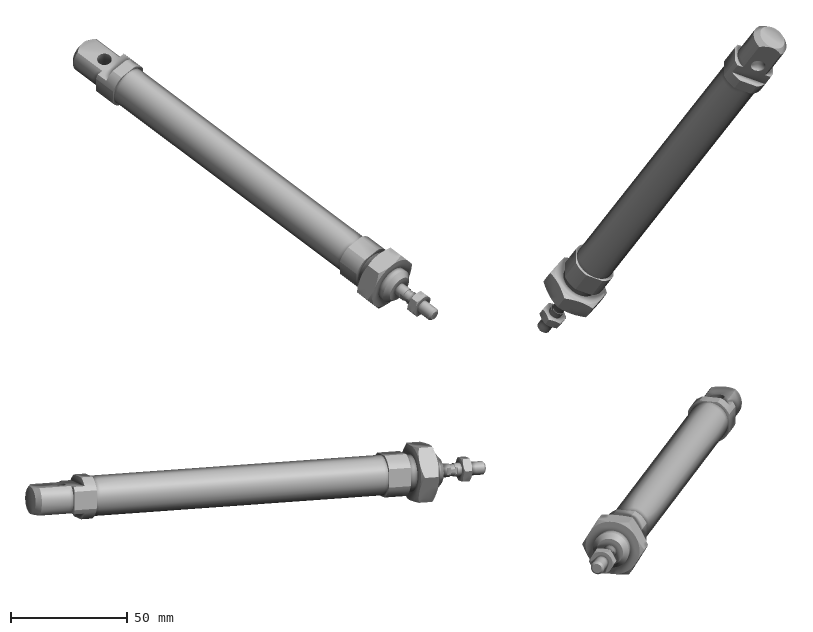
import cadquery as cq
import math

total_length = 211.0
rear_flange_start = 16.9
rear_flange_shoulder = 22.0
rear_flange_end = 27.2
front_flange_start = 163.0
front_flange_end = 173.2
front_cap_end = 190.0
collar_length = 1.3
barrel_start = rear_flange_end + collar_length
barrel_end = front_flange_start - collar_length

barrel_diameter = 17.5
flange_diameter = 20.0
flange_across_flats = 18.4
neck_diameter = 16.0
neck_end_chamfer = 2.1
tongue_thickness = 12.0
pivot_hole_diameter = 6.3
pivot_hole_x = 13.0

mounting_nut_start = 176.8
mounting_nut_thickness = 8.5
mounting_nut_across_flats = 24.0

rod_diameter = 6.0
rod_tip_chamfer = 0.8
rod_groove_diameter = 5.3
rod_groove_start = 194.5
rod_groove_width = 2.1
rod_flats_start = 192.6
rod_flats_length = 4.9
rod_across_flats = 5.0
rod_nut_start = 199.6
rod_nut_thickness = 4.0
rod_nut_across_flats = 10.0

hex_sides = 6
hex_half_angle = math.pi / hex_sides
nut_chamfer_angle = math.radians(30)


def cylinder(diameter, start, end):
    """Solid cylinder on the X axis between two stations."""
    return cq.Workplane("YZ", origin=(start, 0, 0)).circle(diameter / 2).extrude(end - start)


def flange(start, end):
    """Round flange with four wrench flats."""
    square = cq.Workplane("YZ", origin=(start, 0, 0)).rect(flange_across_flats, flange_across_flats)
    return cylinder(flange_diameter, start, end).intersect(square.extrude(end - start))


def make_rear_cap():
    """Flange with a flattened pivot tongue, a cross hole and a collar flush with the barrel."""
    tongue = cylinder(neck_diameter, 0, rear_flange_start).faces("<X").edges().chamfer(neck_end_chamfer)
    body = tongue.union(flange(rear_flange_start, rear_flange_end))
    slab = cq.Workplane("XY").box(rear_flange_shoulder, flange_diameter, tongue_thickness,
                                  centered=(False, True, True))
    body = body.intersect(slab.union(cylinder(flange_diameter, rear_flange_shoulder, rear_flange_end)))
    pivot_hole = (
        cq.Workplane("XY")
        .center(pivot_hole_x, 0)
        .circle(pivot_hole_diameter / 2)
        .extrude(tongue_thickness, both=True)
    )
    collar = cylinder(barrel_diameter, rear_flange_end, barrel_start)
    return body.union(collar).cut(pivot_hole)


def make_barrel():
    """Plain round barrel between the collars of the two caps."""
    return cylinder(barrel_diameter, barrel_start, barrel_end)


def make_front_cap():
    """Flange with a collar flush with the barrel and a chamfered neck, bored for the rod."""
    neck = cylinder(neck_diameter, front_flange_end, front_cap_end)
    neck = neck.faces(">X").edges().chamfer(neck_end_chamfer)
    body = flange(front_flange_start, front_flange_end).union(neck)
    collar = cylinder(barrel_diameter, barrel_end, front_flange_start)
    return body.union(collar).cut(cylinder(rod_diameter, barrel_end, front_cap_end))


def make_hex_nut(across_flats, bore, start, thickness):
    """Hexagon nut with corners along Y and conical chamfers on both faces."""
    face_radius = across_flats / 2
    corner_radius = face_radius / math.cos(hex_half_angle)
    chamfer_depth = (corner_radius - face_radius) * math.tan(nut_chamfer_angle)
    end = start + thickness
    prism = cq.Workplane("YZ", origin=(start, 0, 0)).polygon(hex_sides, 2 * corner_radius).extrude(thickness)
    envelope = (
        cq.Workplane("XY")
        .moveTo(start, 0)
        .lineTo(start, face_radius)
        .lineTo(start + chamfer_depth, corner_radius)
        .lineTo(end - chamfer_depth, corner_radius)
        .lineTo(end, face_radius)
        .lineTo(end, 0)
        .close()
        .revolve(360, (0, 0, 0), (1, 0, 0))
    )
    return prism.intersect(envelope).cut(cylinder(bore, start, end))


def make_rod():
    """Piston rod with wrench flats, an undercut and a chamfered tip."""
    rod = cylinder(rod_diameter, barrel_end, total_length).faces(">X").chamfer(rod_tip_chamfer)
    groove_end = rod_groove_start + rod_groove_width
    groove_core = cylinder(rod_groove_diameter, rod_groove_start, groove_end)
    rod = rod.cut(cylinder(rod_diameter, rod_groove_start, groove_end).cut(groove_core))
    flat_cutter = cq.Workplane("XY").box(rod_flats_length, rod_diameter, rod_diameter)
    flats_middle = rod_flats_start + rod_flats_length / 2
    flat_offset = (rod_across_flats + rod_diameter) / 2
    for side in (-1, 1):
        rod = rod.cut(flat_cutter.translate((flats_middle, side * flat_offset, 0)))
    return rod


rear_cap = make_rear_cap()
barrel = make_barrel()
front_cap = make_front_cap()
mounting_nut = make_hex_nut(
    mounting_nut_across_flats, neck_diameter, mounting_nut_start, mounting_nut_thickness
)
rod = make_rod()
rod_nut = make_hex_nut(rod_nut_across_flats, rod_diameter, rod_nut_start, rod_nut_thickness)

result = cq.Compound.makeCompound([
    rear_cap.val(),
    barrel.val(),
    front_cap.val(),
    mounting_nut.val(),
    rod.val(),
    rod_nut.val(),
])